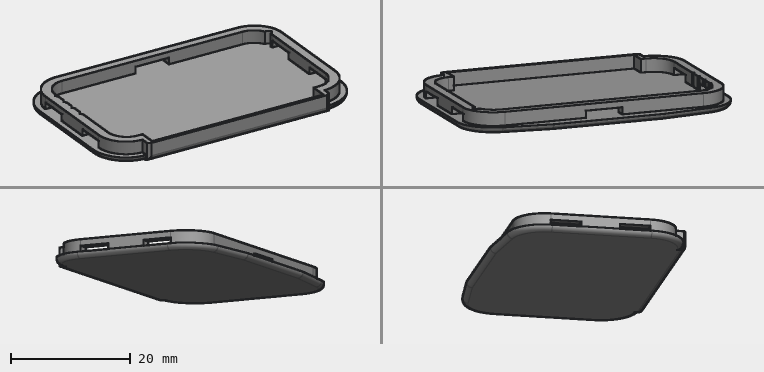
import cadquery as cq
import math

length = 48.7
width = 31.7
plate_thickness = 1.0
bottom_round = 0.97
left_flat_half = 9.9

total_height = 3.35
ledge = 1.2
rim_wall = 1.75
end_wall = 1.85
rim_left = 2.25
rim_right = 29.9
rim_radius = 5.35

tab_half = 17.85
tab_wall = 1.05
lip_wall = 0.5
tab_bevel_x = 0.4
tab_bevel_y = 0.7

window_height = 1.2
end_window_width = 5.15
left_window_width = 6.55

key_notch_x = 6.5
key_notch_radius = 0.65
key_notch_inset = 0.1
grip_notch_count = 4
grip_notch_start_x = 8.25
grip_notch_pitch = 2.6
grip_notch_radius = 0.55
grip_notch_inset = 0.3

half_length = length / 2
plate_radius = rim_radius + ledge
plate_right = rim_right + ledge
left_center_x = rim_left + rim_radius
right_center_x = rim_right - rim_radius
corner_center_y = half_length - plate_radius
rim_half = half_length - ledge
pocket_half = rim_half - end_wall
pocket_left = rim_left + rim_wall
pocket_right = rim_right - rim_wall
pocket_radius = rim_radius - rim_wall
wall_height = total_height - plate_thickness


def box(x_min, x_max, y_min, y_max, z_min, height):
    """Box given by its side positions, foot and height."""
    return (
        cq.Workplane("XY", origin=(0, 0, z_min))
        .moveTo((x_min + x_max) / 2, (y_min + y_max) / 2)
        .rect(x_max - x_min, y_max - y_min)
        .extrude(height)
    )


def wall_cylinder(x, y, radius):
    """Upright cylinder over the height of the rim."""
    return cq.Workplane("XY", origin=(x, y, plate_thickness)).circle(radius).extrude(wall_height)


def make_plate():
    """Plate with a bulged left side, tangent to the corner arcs, and a rounded bottom edge."""
    run_y = corner_center_y - left_flat_half
    center_distance = math.hypot(left_center_x, run_y)
    tangent_angle = math.acos(plate_radius / center_distance) - math.atan2(run_y, left_center_x)
    mid_angle = (tangent_angle + math.pi / 2) / 2

    def left_arc_point(angle, side):
        x = left_center_x - plate_radius * math.cos(angle)
        y = corner_center_y + plate_radius * math.sin(angle)
        return (x, side * y)

    diagonal = plate_radius * math.sqrt(0.5)
    right_mid_x = right_center_x + diagonal
    right_mid_y = corner_center_y + diagonal
    outline = (
        cq.Workplane("XY")
        .moveTo(0, -left_flat_half)
        .lineTo(0, left_flat_half)
        .lineTo(*left_arc_point(tangent_angle, 1))
        .threePointArc(left_arc_point(mid_angle, 1), (left_center_x, half_length))
        .lineTo(right_center_x, half_length)
        .threePointArc((right_mid_x, right_mid_y), (plate_right, corner_center_y))
        .lineTo(plate_right, -corner_center_y)
        .threePointArc((right_mid_x, -right_mid_y), (right_center_x, -half_length))
        .lineTo(left_center_x, -half_length)
        .threePointArc(left_arc_point(mid_angle, -1), left_arc_point(tangent_angle, -1))
        .close()
    )
    return outline.extrude(plate_thickness).faces("<Z").edges().fillet(bottom_round)


def make_tab():
    """Full-height tab with beveled outer corners and a rounded lower right edge."""
    outline = [
        (pocket_right, -tab_half),
        (width - tab_bevel_x, -tab_half),
        (width, -tab_half + tab_bevel_y),
        (width, tab_half - tab_bevel_y),
        (width - tab_bevel_x, tab_half),
        (pocket_right, tab_half),
    ]
    tab = cq.Workplane("XY").polyline(outline).close().extrude(total_height)
    profile = (
        box(0, width, -half_length, half_length, 0, total_height)
        .edges(">X and <Z")
        .fillet(bottom_round)
    )
    return tab.intersect(profile)


def make_rim():
    """Rounded rectangular block that the pocket turns into a rim."""
    block = box(rim_left, rim_right, -rim_half, rim_half, plate_thickness, wall_height)
    return block.edges("|Z").fillet(rim_radius)


def make_pocket():
    """Inside of the rim, widened to the right into the tab."""
    pocket = box(pocket_left, pocket_right, -pocket_half, pocket_half, plate_thickness, wall_height)
    pocket = pocket.edges("|Z").fillet(pocket_radius)
    opening_half = tab_half - tab_wall
    opening = box(left_center_x, width - lip_wall, -opening_half, opening_half,
                  plate_thickness, wall_height)
    return pocket.union(opening)


def make_windows():
    """Two windows through both end walls and one through the left wall."""
    left_half = left_window_width / 2
    windows = box(rim_left, pocket_left, -left_half, left_half, plate_thickness, window_height)
    for x_min in (left_center_x, right_center_x - end_window_width):
        windows = windows.union(
            box(x_min, x_min + end_window_width, -rim_half, rim_half, plate_thickness, window_height)
        )
    return windows


def make_notches():
    """One key notch in the back wall and a row of grip notches in the front wall."""
    notches = wall_cylinder(key_notch_x, pocket_half - key_notch_inset, key_notch_radius)
    for index in range(grip_notch_count):
        x = grip_notch_start_x + index * grip_notch_pitch
        notches = notches.union(wall_cylinder(x, grip_notch_inset - pocket_half, grip_notch_radius))
    return notches


body = make_plate().union(make_tab()).union(make_rim())
result = body.cut(make_pocket()).cut(make_windows()).cut(make_notches())